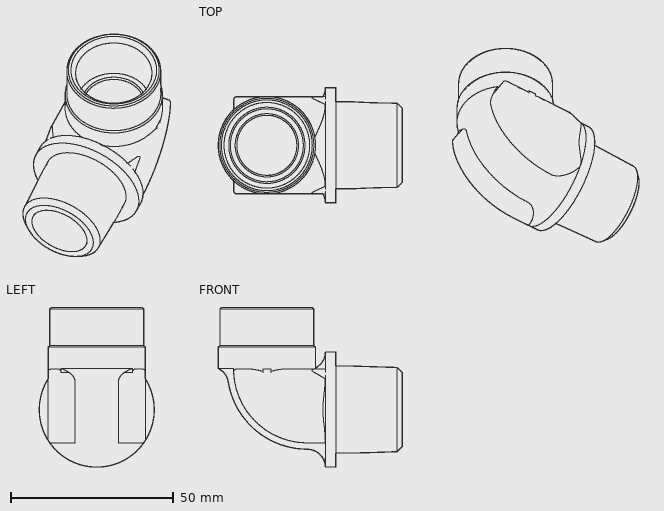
import cadquery as cq
import math


bend_radius = 12.5
pipe_radius = 12.25
bore_radius = 9.25

block_half_width = 15.0
block_offset = 10.25
block_top = bend_radius
block_fillet = 1.0

inlet_top = 31.5
inlet_radius = 14.5
collar_radius = 15.0
collar_top = 19.75
collar_bottom = 12.65
root_flat_length = 2.5
edge_chamfer = 0.5
flare_bottom = 8.65
socket_depth = 16.0
socket_mouth_radius = 13.2
socket_top_radius = 11.75
socket_bottom_radius = 11.25
socket_mouth_depth = socket_mouth_radius - socket_top_radius
bore_chamfer = 0.5

flange_radius = 17.75
flange_end = 21.25
flange_flare_radius = flange_radius - pipe_radius
flange_start = bend_radius + flange_flare_radius
relief_angle = 18.5
spigot_end = 41.75
spigot_radius = 13.45
taper_start = 26.3
taper_per_radius = 1 / 32
spigot_chamfer = 1.6


def bend(radius):
    """Quarter torus that joins the inlet axis to the outlet axis."""
    path = (
        cq.Workplane("XZ")
        .moveTo(0, bend_radius)
        .radiusArc((bend_radius, 0), -bend_radius)
    )
    return cq.Workplane("XY", origin=(0, 0, bend_radius)).circle(radius).sweep(path)


def block_blank():
    """Sharp-edged block with a round back corner, as tall as the underside of the collar."""
    back_radius = bend_radius + block_offset
    mid_offset = back_radius * math.sqrt(0.5)
    return (
        cq.Workplane("XZ")
        .moveTo(-block_offset, collar_bottom)
        .lineTo(-block_offset, bend_radius)
        .threePointArc(
            (bend_radius - mid_offset, bend_radius - mid_offset),
            (bend_radius, -block_offset),
        )
        .lineTo(flange_start, -block_offset)
        .lineTo(flange_start, collar_bottom)
        .close()
        .extrude(block_half_width, both=True)
    )


def wrench_block():
    """Block with its rounded edges and the conical relief at the flange."""
    block = (
        block_blank()
        .faces(">Z")
        .workplane(offset=block_top - collar_bottom)
        .split(keepBottom=True)
    )
    block = (
        block.faces("<Y or >Y").edges("not >X")
        .add(block.faces(">Z").edges("<X"))
        .fillet(block_fillet)
    )
    relief_length = flange_start + block_offset
    relief_radius = flange_radius + relief_length * math.tan(math.radians(relief_angle))
    relief = (
        cq.Workplane("XZ")
        .moveTo(-block_offset, 0)
        .lineTo(-block_offset, relief_radius)
        .lineTo(flange_start, flange_radius)
        .lineTo(flange_start, 0)
        .close()
        .revolve(360, (0, 0, 0), (1, 0, 0))
    )
    return block.intersect(relief)


def collar_root():
    """Part of the block under the collar that keeps its sharp edges, with a short flat on each side."""
    root_bottom = block_top - block_fillet
    base = cq.Workplane("XY", origin=(0, 0, root_bottom))
    root = base.circle(collar_radius).extrude(collar_bottom - root_bottom)
    flats = base.rect(root_flat_length, 2 * block_half_width).extrude(block_fillet)
    return root.intersect(block_blank()).union(flats)


def inlet():
    """Socket body, collar and the flare under the collar, turned about Z."""
    bend_outer_radius = bend_radius + pipe_radius
    bend_angle = math.asin((bend_radius - flare_bottom) / bend_outer_radius)
    neck_radius = bend_outer_radius * math.cos(bend_angle) - bend_radius
    flare_width = collar_radius - neck_radius
    flare_height = collar_bottom - flare_bottom
    normal_run = flare_width * math.cos(bend_angle) - flare_height * math.sin(bend_angle)
    flare_radius = (flare_width**2 + flare_height**2) / (2 * normal_run)
    return (
        cq.Workplane("XZ")
        .moveTo(0, flare_bottom)
        .lineTo(neck_radius, flare_bottom)
        .radiusArc((collar_radius, collar_bottom), flare_radius)
        .lineTo(collar_radius, collar_top - edge_chamfer)
        .lineTo(inlet_radius, collar_top)
        .lineTo(inlet_radius, inlet_top - edge_chamfer)
        .lineTo(inlet_radius - edge_chamfer, inlet_top)
        .lineTo(0, inlet_top)
        .close()
        .revolve(360, (0, 0, 0), (0, 1, 0))
    )


def outlet():
    """Flared neck, flange and tapered spigot, turned about X."""
    chamfer_start = spigot_end - spigot_chamfer
    taper_end_radius = spigot_radius - (chamfer_start - taper_start) * taper_per_radius
    return (
        cq.Workplane("XZ")
        .moveTo(bend_radius, 0)
        .lineTo(bend_radius, pipe_radius)
        .radiusArc((flange_start, flange_radius), -flange_flare_radius)
        .lineTo(flange_end, flange_radius)
        .lineTo(flange_end, spigot_radius)
        .lineTo(taper_start, spigot_radius)
        .lineTo(chamfer_start, taper_end_radius)
        .lineTo(spigot_end, taper_end_radius - spigot_chamfer)
        .lineTo(spigot_end, 0)
        .close()
        .revolve(360, (0, 0, 0), (1, 0, 0))
    )


def socket():
    """Cavity of the inlet: chamfered mouth, tapered socket and the bore below its floor."""
    floor = inlet_top - socket_depth
    return (
        cq.Workplane("XZ")
        .moveTo(0, inlet_top)
        .lineTo(socket_mouth_radius, inlet_top)
        .lineTo(socket_top_radius, inlet_top - socket_mouth_depth)
        .lineTo(socket_bottom_radius, floor)
        .lineTo(bore_radius + bore_chamfer, floor)
        .lineTo(bore_radius, floor - bore_chamfer)
        .lineTo(bore_radius, bend_radius)
        .lineTo(0, bend_radius)
        .close()
        .revolve(360, (0, 0, 0), (0, 1, 0))
    )


def outlet_bore():
    """Straight bore through the flange and the spigot."""
    return (
        cq.Workplane("YZ", origin=(bend_radius, 0, 0))
        .circle(bore_radius)
        .extrude(spigot_end - bend_radius)
    )


body = bend(pipe_radius)
for piece in (wrench_block(), collar_root(), inlet(), outlet()):
    body = body.union(piece)

for cavity in (bend(bore_radius), socket(), outlet_bore()):
    body = body.cut(cavity)

result = body.clean()